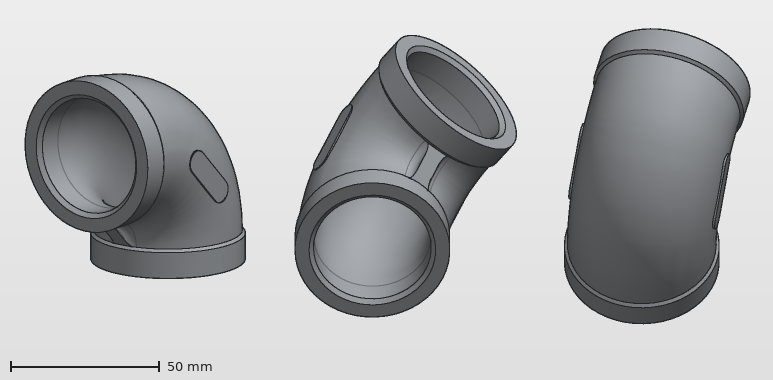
import cadquery as cq
import math

collar_radius = 26.0
tube_radius = 25.0
bend_radius = 35.0
collar_length = 10.0
bore_radius = 19.75
mouth_radius = 21.25
mouth_depth = 1.5
rib_half_width = 3.0
rib_fillet = 3.0
pad_length = 26.0
pad_width = 8.0
pad_rise = 0.3

collar_chamfer = collar_radius - tube_radius
bend_y = -bend_radius
bend_z = collar_length
throat_radius = bend_radius - tube_radius
bend_mid = bend_radius * math.sqrt(0.5)
port_span = bend_radius + collar_length


def at_both_ports(bottom_shape):
    """Return a bottom-port shape together with its twin at the side port."""
    turned = bottom_shape.rotate((0, 0, 0), (1, 0, 0), -90)
    twin = turned.translate((0, -port_span, port_span))
    return bottom_shape, twin


def quarter_bend(radius):
    """Quarter torus joining the inner faces of the two collars."""
    return (
        cq.Workplane("XY", origin=(0, 0, bend_z))
        .circle(radius)
        .revolve(90, (0, bend_y, 0), (1, bend_y, 0))
    )


def collar():
    """Bottom collar, chamfered where it steps down to the tube."""
    blank = cq.Workplane("XY").circle(collar_radius).extrude(collar_length)
    return blank.faces(">Z").chamfer(collar_chamfer)


def port_bore():
    """Straight bore of the bottom port with its conical mouth."""
    profile = [
        (0, 0),
        (mouth_radius, 0),
        (bore_radius, mouth_depth),
        (bore_radius, collar_length),
        (0, collar_length),
    ]
    return cq.Workplane("XZ").polyline(profile).close().revolve(360, (0, 0, 0), (0, 1, 0))


def throat_rib():
    """Filleted rib in the throat of the bend, trimmed flat at 45 degrees."""
    centre_x = rib_half_width + rib_fillet
    centre_y = -math.sqrt((tube_radius + rib_fillet) ** 2 - centre_x**2)
    tube_share = tube_radius / (tube_radius + rib_fillet)
    foot_x = centre_x * tube_share
    foot_y = centre_y * tube_share
    arc_angle = (math.pi + math.atan2(foot_y - centre_y, foot_x - centre_x)) / 2
    mid_x = centre_x + rib_fillet * math.cos(arc_angle)
    mid_y = centre_y + rib_fillet * math.sin(arc_angle)
    crest_y = bend_y + throat_radius / 2
    root_y = -(bore_radius + tube_radius) / 2

    swept_rib = (
        cq.Workplane("XY", origin=(0, 0, bend_z))
        .moveTo(foot_x, root_y)
        .lineTo(foot_x, foot_y)
        .threePointArc((mid_x, mid_y), (rib_half_width, centre_y))
        .lineTo(rib_half_width, crest_y)
        .lineTo(-rib_half_width, crest_y)
        .lineTo(-rib_half_width, centre_y)
        .threePointArc((-mid_x, mid_y), (-foot_x, foot_y))
        .lineTo(-foot_x, root_y)
        .close()
        .revolve(90, (0, bend_y, 0), (1, bend_y, 0))
    )
    trim = (
        cq.Workplane("YZ")
        .moveTo(bend_y, bend_z)
        .lineTo(bend_y + throat_radius, bend_z)
        .lineTo(bend_y, bend_z + throat_radius)
        .close()
        .extrude(tube_radius, both=True)
    )
    return swept_rib.cut(trim)


def side_pads():
    """Flat rounded-end pads on both flanks, along the bend at its midpoint."""
    return (
        cq.Workplane("YZ")
        .center(bend_y + bend_mid, bend_z + bend_mid)
        .slot2D(pad_length, pad_width, -45)
        .extrude(tube_radius + pad_rise, both=True)
    )


elbow = quarter_bend(tube_radius).union(throat_rib()).union(side_pads())
for port_collar in at_both_ports(collar()):
    elbow = elbow.union(port_collar)

elbow = elbow.cut(quarter_bend(bore_radius))
for bore in at_both_ports(port_bore()):
    elbow = elbow.cut(bore)

result = elbow